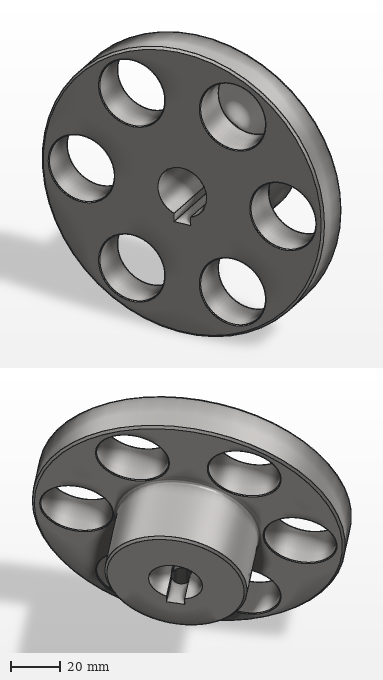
import cadquery as cq

disc_diameter = 129.2
disc_thickness = 16.5
disc_chamfer = 1.0

total_length = 46.1
hub_length = total_length - disc_thickness
hub_diameter = 58.7
hub_chamfer = 1.0
hub_root_fillet = 2.0

bore_diameter = 22.2
keyway_width = 7.5
keyway_depth_from_axis = 14.2

hole_count = 6
hole_diameter = 29.7
hole_circle_radius = 46.1
hole_chamfer = 0.4

screw_hole_diameter = 8.0
screw_hole_from_hub_end = 14.0
screw_hole_y = total_length - screw_hole_from_hub_end


def cylinder_along_y(diameter, start_y, length):
    """Solid cylinder on the Y axis, running from start_y toward +Y."""
    workplane = cq.Workplane("XZ", origin=(0, start_y, 0))
    return workplane.circle(diameter / 2).extrude(-length)


def make_flanged_hub():
    """Disc and hub turned as one profile; radius is X and the axis is Y."""
    disc_radius = disc_diameter / 2
    hub_radius = hub_diameter / 2
    profile = (
        cq.Workplane("XY")
        .lineTo(disc_radius - disc_chamfer, 0)
        .lineTo(disc_radius, disc_chamfer)
        .lineTo(disc_radius, disc_thickness - disc_chamfer)
        .lineTo(disc_radius - disc_chamfer, disc_thickness)
        .lineTo(hub_radius + hub_root_fillet, disc_thickness)
        .tangentArcPoint((hub_radius, disc_thickness + hub_root_fillet), relative=False)
        .lineTo(hub_radius, total_length - hub_chamfer)
        .lineTo(hub_radius - hub_chamfer, total_length)
        .lineTo(0, total_length)
        .close()
    )
    return profile.revolve(360, (0, 0, 0), (0, 1, 0))


def make_chamfered_hole():
    """Cutter for one disc hole, flared at both faces of the disc."""
    hole_radius = hole_diameter / 2
    rim_radius = hole_radius + hole_chamfer
    profile = (
        cq.Workplane("XY")
        .lineTo(rim_radius, 0)
        .lineTo(hole_radius, hole_chamfer)
        .lineTo(hole_radius, disc_thickness - hole_chamfer)
        .lineTo(rim_radius, disc_thickness)
        .lineTo(0, disc_thickness)
        .close()
    )
    return profile.revolve(360, (0, 0, 0), (0, 1, 0))


def cut_hole_ring(body):
    cutter = make_chamfered_hole().translate((hole_circle_radius, 0, 0))
    for index in range(hole_count):
        angle = index * 360 / hole_count
        body = body.cut(cutter.rotate((0, 0, 0), (0, 1, 0), angle))
    return body


def cut_keyed_bore(body):
    bore = cylinder_along_y(bore_diameter, 0, total_length)
    keyway = cq.Workplane("XY").box(
        keyway_width, total_length, keyway_depth_from_axis, centered=(True, False, False)
    )
    keyway = keyway.translate((0, 0, -keyway_depth_from_axis))
    return body.cut(bore).cut(keyway)


def cut_screw_hole(body):
    """Radial hole from the bore axis out through the -Z side of the hub."""
    start = cq.Workplane("XY", origin=(0, screw_hole_y, 0))
    return body.cut(start.circle(screw_hole_diameter / 2).extrude(-hub_diameter / 2))


result = make_flanged_hub()
result = cut_hole_ring(result)
result = cut_keyed_bore(result)
result = cut_screw_hole(result)